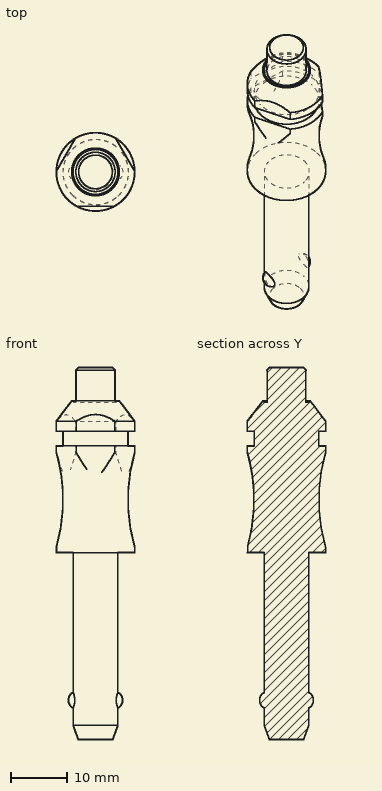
import cadquery as cq
import math


shaft_radius = 4.0
shaft_length = 33.3
tip_taper_length = 2.5
tip_taper_angle = 20.0
tip_radius = shaft_radius - tip_taper_length * math.tan(math.radians(tip_taper_angle))

ball_radius = 1.6
ball_projection = 0.85
ball_offset = shaft_radius + ball_projection - ball_radius
ball_height_above_tip = 7.0

handle_radius = 7.0
waist_radius = 5.8
lower_collar_height = 1.0
sleeve_height = 19.0
upper_collar_height = 1.2
lower_collar_top = lower_collar_height
upper_collar_bottom = sleeve_height - upper_collar_height
waist_middle = (lower_collar_top + upper_collar_bottom) / 2

neck_radius = waist_radius
neck_height = 2.6

cap_bottom = sleeve_height + neck_height
cap_rim_height = 1.8
cap_cone_height = 2.6
cap_cone_top_radius = 5.05
cap_bevel_height = 1.0
cap_top_radius = 4.25
cap_cone_bottom = cap_bottom + cap_rim_height
cap_cone_top = cap_cone_bottom + cap_cone_height
cap_top = cap_cone_top + cap_bevel_height

recess_radius = 4.0
recess_depth = 0.2
recess_floor = cap_top - recess_depth

button_radius = 3.5
button_height = 6.0
button_chamfer = 0.5
button_top = cap_top + button_height

flat_count = 3
flat_distance = 6.1
first_flat_angle = -90.0


def make_shaft():
    """Plain cylinder with a tapered tip at its lower end."""
    return (
        cq.Workplane("XZ")
        .moveTo(0, -shaft_length)
        .lineTo(tip_radius, -shaft_length)
        .lineTo(shaft_radius, tip_taper_length - shaft_length)
        .lineTo(shaft_radius, lower_collar_top)
        .lineTo(0, lower_collar_top)
        .close()
        .revolve(360, (0, 0), (0, 1))
    )


def make_handle():
    """Sleeve, neck and recessed cap, turned as one profile."""
    return (
        cq.Workplane("XZ")
        .lineTo(handle_radius, 0)
        .lineTo(handle_radius, lower_collar_top)
        .threePointArc((waist_radius, waist_middle), (handle_radius, upper_collar_bottom))
        .lineTo(handle_radius, sleeve_height)
        .lineTo(neck_radius, sleeve_height)
        .lineTo(neck_radius, cap_bottom)
        .lineTo(handle_radius, cap_bottom)
        .lineTo(handle_radius, cap_cone_bottom)
        .lineTo(cap_cone_top_radius, cap_cone_top)
        .lineTo(cap_top_radius, cap_top)
        .lineTo(recess_radius, cap_top)
        .lineTo(recess_radius, recess_floor)
        .lineTo(0, recess_floor)
        .close()
        .revolve(360, (0, 0), (0, 1))
    )


def cut_flats(body):
    """Vertical flats, evenly spaced, from the waist up to the cap."""
    flat_height = cap_top - waist_middle
    outside = (
        cq.Workplane("XY", origin=(flat_distance, 0, waist_middle))
        .box(handle_radius, 2 * handle_radius, flat_height, centered=(False, True, False))
    )
    for index in range(flat_count):
        angle = first_flat_angle + index * 360 / flat_count
        body = body.cut(outside.rotate((0, 0, 0), (0, 0, 1), angle))
    return body


def make_button():
    """Chamfered push button rising from the cap recess."""
    return (
        cq.Workplane("XY", origin=(0, 0, recess_floor))
        .circle(button_radius)
        .extrude(button_top - recess_floor)
        .faces(">Z")
        .chamfer(button_chamfer)
    )


def add_balls(body):
    """Locking balls standing out of both sides of the shaft along X."""
    ball_z = ball_height_above_tip - shaft_length
    for side in (-1, 1):
        ball = cq.Workplane("XY", origin=(side * ball_offset, 0, ball_z)).sphere(ball_radius)
        body = body.union(ball)
    return body


handle = cut_flats(make_handle())
result = add_balls(handle.union(make_shaft()).union(make_button()))